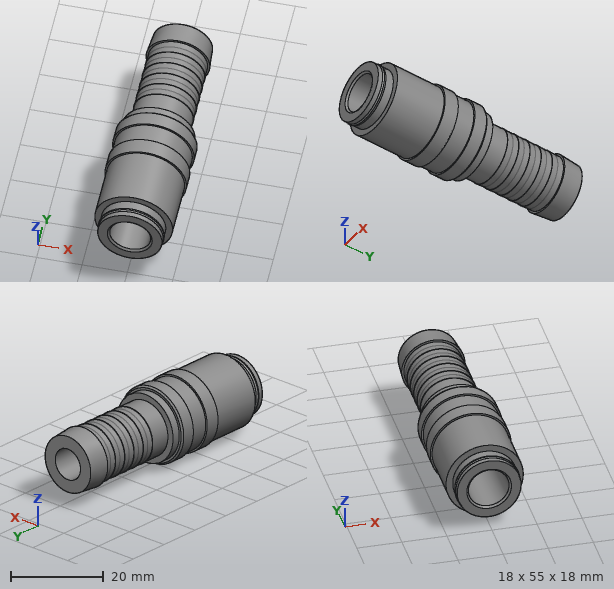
import cadquery as cq

total_length = 55.0
bead_start = 1.15
bead_peak = 1.55
bead_end = 2.05
nose_end = 4.0
front_collar_start = 16.5
front_collar_end = 20.0
rear_collar_start = 24.5
rear_collar_end = 28.0
flange_end = 30.0
tip_start = 50.0

nose_radius = 7.1
bead_radius = 7.25
bead_shoulder_radius = 7.2
body_radius = 8.6
collar_radius = 8.99
flange_radius = 8.05
hose_radius = 6.55
barb_radius = 6.65
tip_base_radius = 7.05
tip_end_radius = 6.6
collar_chamfer = collar_radius - body_radius

barb_count = 5
barb_pitch = 3.0
barb_length = barb_pitch / 2

bore_radius = 3.65
entry_radius = 4.5
entry_chamfer = 0.45
entry_depth = 16.5


def make_stem():
    """Revolve the outer profile, with X as radius, about the Y axis."""
    profile = (
        cq.Workplane("XY")
        .moveTo(0, 0)
        .lineTo(nose_radius, 0)
        .lineTo(nose_radius, bead_start)
        .lineTo(bead_radius, bead_peak)
        .threePointArc((bead_shoulder_radius, (bead_peak + bead_end) / 2), (nose_radius, bead_end))
        .lineTo(nose_radius, nose_end)
        .lineTo(body_radius, nose_end)
        .lineTo(body_radius, front_collar_start)
        .lineTo(collar_radius, front_collar_start)
        .lineTo(collar_radius, front_collar_end)
        .lineTo(body_radius, front_collar_end)
        .lineTo(body_radius, rear_collar_start)
        .lineTo(collar_radius, rear_collar_start)
        .lineTo(collar_radius, rear_collar_end - collar_chamfer)
        .lineTo(body_radius, rear_collar_end)
        .lineTo(flange_radius, rear_collar_end)
        .lineTo(flange_radius, flange_end)
        .lineTo(hose_radius, flange_end)
    )
    for index in range(barb_count, 0, -1):
        barb_start = tip_start - index * barb_pitch
        profile = (
            profile.lineTo(hose_radius, barb_start)
            .lineTo(barb_radius, barb_start)
            .lineTo(hose_radius, barb_start + barb_length)
        )
    profile = (
        profile.lineTo(hose_radius, tip_start)
        .lineTo(tip_base_radius, tip_start)
        .lineTo(tip_end_radius, total_length)
        .lineTo(0, total_length)
        .close()
    )
    return profile.revolve(360, (0, 0, 0), (0, 1, 0))


def make_bore():
    """Through bore with a wider, chamfered entry at the plug face."""
    return (
        cq.Workplane("XY")
        .moveTo(0, 0)
        .lineTo(entry_radius + entry_chamfer, 0)
        .lineTo(entry_radius, entry_chamfer)
        .lineTo(entry_radius, entry_depth)
        .lineTo(bore_radius, entry_depth)
        .lineTo(bore_radius, total_length)
        .lineTo(0, total_length)
        .close()
        .revolve(360, (0, 0, 0), (0, 1, 0))
    )


result = make_stem().cut(make_bore())